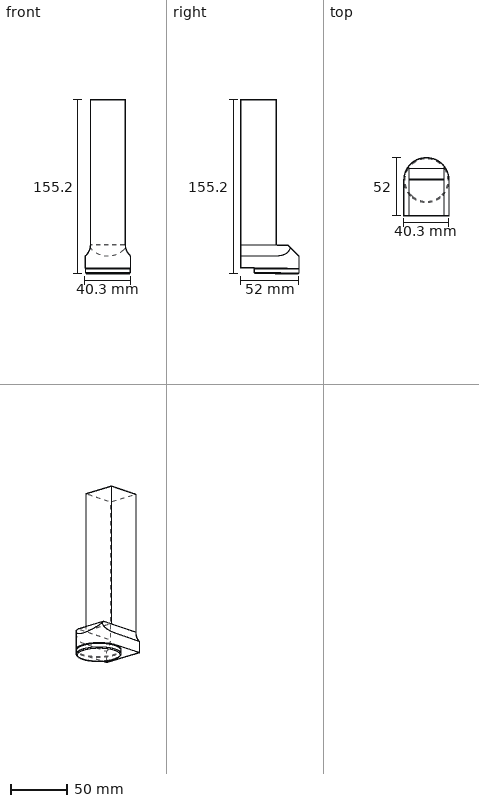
import cadquery as cq
import math

height = 155.2
depth = 52.0
foot_width = 40.3

shank_width = 31.3
shank_depth = 31.8

foot_bottom = 5.5
base_tilt = 0.5
flank_tilt = 0.4
foot_top = 25.6
side_top = 15.8
nose_chamfer = 9.8
root_chamfer_depth = 1.2
root_chamfer_height = 0.5

insert_diameter = 40.0
insert_chamfer = 1.0
insert_neck_diameter = 39.9
insert_neck_height = 0.8

nose_radius = foot_width / 2
nose_center_y = depth - nose_radius
tilt_slope = math.tan(math.radians(base_tilt))
insert_center_y = depth - insert_diameter / 2 - foot_bottom * tilt_slope
rim_back_y = insert_center_y + insert_diameter / 2 - insert_chamfer


def tilt(solid, angle, pivot_z):
    """Turn a solid about an X-parallel line on the front face."""
    return solid.rotate((0, 0, pivot_z), (1, 0, pivot_z), angle)


def make_shank():
    """Square bar with its front face flush with the foot."""
    return (
        cq.Workplane("XY")
        .box(shank_width, shank_depth, height - foot_top, centered=(True, False, False))
        .translate((0, 0, foot_top))
    )


def make_foot_blank():
    """Flat-sided block with a half-round nose at the back."""
    blank = (
        cq.Workplane("XY")
        .moveTo(-nose_radius, 0)
        .lineTo(nose_radius, 0)
        .lineTo(nose_radius, nose_center_y)
        .threePointArc((0, depth), (-nose_radius, nose_center_y))
        .close()
        .extrude(foot_top)
    )
    below_base = cq.Workplane("XY").box(2 * foot_width, 3 * depth, foot_top)
    below_base = below_base.translate((0, 0, foot_bottom - foot_top / 2))
    return blank.cut(tilt(below_base, -base_tilt, foot_bottom))


def make_shoulder_bar():
    """Bell-shaped bar whose concave flanks meet the shank tangentially."""
    half_shank = shank_width / 2
    rise = foot_top - side_top
    run = nose_radius - half_shank
    flank_radius = (run**2 + rise**2) / (2 * run)
    half_angle = math.asin(rise / flank_radius) / 2
    mid_x = half_shank + flank_radius * (1 - math.cos(half_angle))
    mid_z = foot_top - flank_radius * math.sin(half_angle)
    bar = (
        cq.Workplane("XZ")
        .moveTo(-nose_radius, -foot_top)
        .lineTo(nose_radius, -foot_top)
        .lineTo(nose_radius, side_top)
        .threePointArc((mid_x, mid_z), (half_shank, foot_top))
        .lineTo(half_shank, 2 * foot_top)
        .lineTo(-half_shank, 2 * foot_top)
        .lineTo(-half_shank, foot_top)
        .threePointArc((-mid_x, mid_z), (-nose_radius, side_top))
        .close()
        .extrude(2 * depth, both=True)
    )
    return tilt(bar, flank_tilt, side_top)


def make_nose_cutter():
    """Wedge that bevels the upper edge of the nose at 45 degrees."""
    return (
        cq.Workplane("YZ")
        .moveTo(depth - nose_chamfer, foot_top)
        .lineTo(depth, foot_top - nose_chamfer)
        .lineTo(depth, foot_top)
        .close()
        .extrude(nose_radius, both=True)
    )


def make_root_chamfer():
    """Small sloped strip between the back of the shank and the foot."""
    return (
        cq.Workplane("YZ")
        .moveTo(shank_depth, foot_top)
        .lineTo(shank_depth + root_chamfer_depth, foot_top)
        .lineTo(shank_depth, foot_top + root_chamfer_height)
        .close()
        .extrude(shank_width / 2, both=True)
    )


def make_insert():
    """Round disc with a chamfered lower rim and a slim neck, square to the tilted base."""
    bottom_z = rim_back_y * tilt_slope
    neck_bottom_z = foot_bottom - insert_neck_height
    disc = (
        cq.Workplane("XY", origin=(0, insert_center_y, bottom_z))
        .circle(insert_diameter / 2)
        .extrude(neck_bottom_z - bottom_z)
        .faces("<Z")
        .chamfer(insert_chamfer)
    )
    neck = (
        cq.Workplane("XY", origin=(0, insert_center_y, neck_bottom_z))
        .circle(insert_neck_diameter / 2)
        .extrude(insert_neck_height)
    )
    return tilt(disc.union(neck), -base_tilt, bottom_z)


foot = make_foot_blank().intersect(make_shoulder_bar()).cut(make_nose_cutter())
result = make_shank().union(foot).union(make_root_chamfer()).union(make_insert())